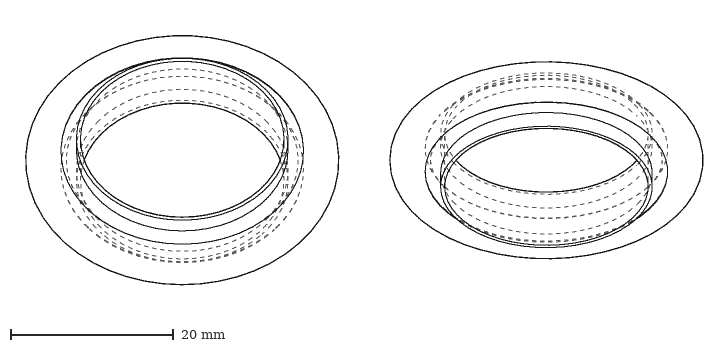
import cadquery as cq

cord_diameter = 5.0
o_ring_outer_diameter = 38.5
cord_radius = cord_diameter / 2
cord_path_radius = o_ring_outer_diameter / 2 - cord_radius

bore_diameter = 25.0
sleeve_wall = 0.5
sleeve_diameter = bore_diameter + 2 * sleeve_wall
sleeve_length = 8.0
flange_diameter = 29.8
flange_thickness = 3.9
flange_edge_radius = 0.2


def make_o_ring():
    """Round cord swept in a circle about the Z axis."""
    cord_section = cq.Workplane("XZ").center(cord_path_radius, 0).circle(cord_radius)
    return cord_section.revolve(360, (-cord_path_radius, 0), (-cord_path_radius, 1))


def make_disc(diameter, thickness):
    """Round disc on the Z axis, centred on the XY plane."""
    return cq.Workplane("XY").circle(diameter / 2).extrude(thickness / 2, both=True)


def make_centring_ring(seated_o_ring):
    """Flanged sleeve whose rim has a round groove matching the seated O-ring."""
    flange = make_disc(flange_diameter, flange_thickness).edges("%CIRCLE").fillet(flange_edge_radius)
    sleeve = make_disc(sleeve_diameter, sleeve_length)
    bore = make_disc(bore_diameter, sleeve_length)
    return sleeve.union(flange).cut(bore).cut(seated_o_ring)


o_ring = make_o_ring()
centring_ring = make_centring_ring(o_ring)

result = cq.Compound.makeCompound([centring_ring.solids().val(), o_ring.val()])